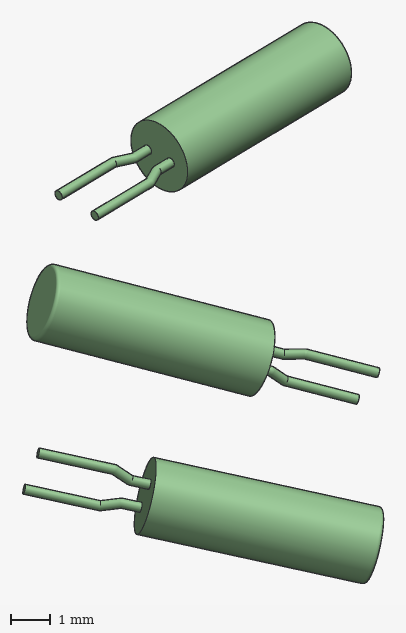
import cadquery as cq

can_diameter = 2.0
can_length = 6.0
rear_edge_radius = 0.09

overall_length = 9
lead_diameter = 0.26
lead_length = overall_length - can_length
root_pitch = 0.8
tip_pitch = 1.27
root_length = 0.5
tip_length = 2.0


def make_can():
    """Can with its flat front face at Y = 0 and a rounded rear edge."""
    can = cq.Workplane("XZ").circle(can_diameter / 2).extrude(-can_length)
    return can.faces(">Y").edges().fillet(rear_edge_radius)


def make_lead(side):
    """Wire with two tight rounded bends; side is -1 for the -X lead and +1 for the +X lead."""
    root_x = side * root_pitch / 2
    tip_x = side * tip_pitch / 2
    path = cq.Workplane("XY").polyline([
        (root_x, 0),
        (root_x, -root_length),
        (tip_x, tip_length - lead_length),
        (tip_x, -lead_length),
    ])
    profile = cq.Workplane("XZ", origin=(root_x, 0, 0)).circle(lead_diameter / 2)
    return profile.sweep(path, transition="round")


can = make_can()
leads = [make_lead(side) for side in (-1, 1)]

result = cq.Compound.makeCompound([can.val(), *[lead.val() for lead in leads]])